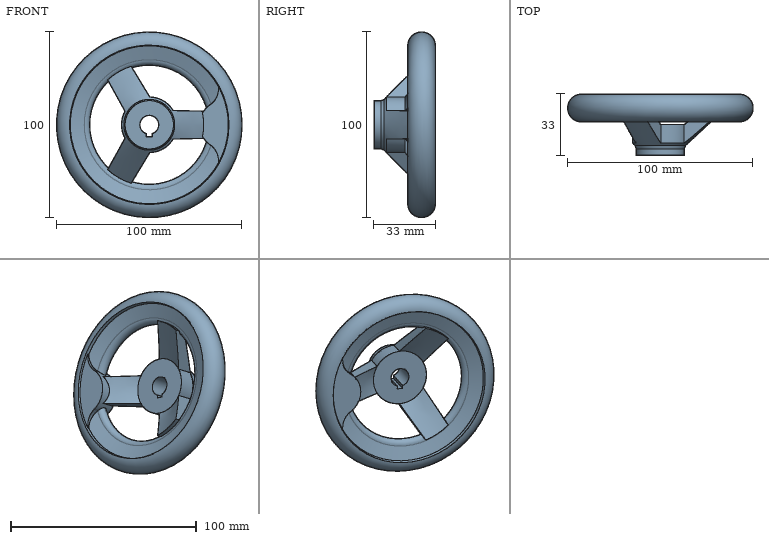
import cadquery as cq
import math


rim_radius = 50.0
rim_width = 15.0
tube_radius = rim_width / 2
tube_circle_radius = rim_radius - tube_radius
lip_radius = 42.9
lip_depth = 1.9
dish_outer_radius = tube_circle_radius
dish_inner_radius = 35.0
dish_inner_depth = 4.4
rim_opening_radius = 32.0

hub_radius = 15.0
hub_back = -1.3
collar_radius = 13.0
collar_back = -14.4
hub_front = -18.0
bore_radius = 5.0
keyway_width = 3.0
keyway_reach = 6.4

shoulder_radius = 13.7
shoulder_front = -12.6
cone_slope = 0.93
back_cone_slope = 0.78

spoke_count = 3
spoke_width_at_axis = 16.0
spoke_width_at_rim = 14.6
spoke_end_radius = 33.5

boss_center_x = 40.0
boss_radius = 13.0
boss_front = 1.9
boss_back = 14.0
blend_radius = 10.0
blend_center_x = 27.2
blend_center_z = math.sqrt((boss_radius + blend_radius) ** 2 - (boss_center_x - blend_center_x) ** 2)


def front_cone_depth(radius):
    """Y of the cone along the front of the spokes."""
    return shoulder_front + cone_slope * (radius - shoulder_radius)


def back_cone_depth(radius):
    """Y of the shallower cone along the back of the spokes."""
    return hub_back + back_cone_slope * (radius - hub_radius)


def revolve_about_axis(profile):
    return profile.revolve(360, (0, 0, 0), (0, 1, 0))


def plate_sketch(front):
    """Workplane facing forward; extrude by a negative length to go back into the wheel."""
    return cq.Workplane("XZ", origin=(0, front, 0))


def make_rim():
    profile = (
        cq.Workplane("XY")
        .moveTo(lip_radius, 0)
        .threePointArc((rim_radius, tube_radius), (lip_radius, rim_width))
        .lineTo(dish_outer_radius, rim_width - lip_depth)
        .lineTo(dish_inner_radius, rim_width - dish_inner_depth)
        .threePointArc((rim_opening_radius, rim_width / 2), (dish_inner_radius, dish_inner_depth))
        .lineTo(dish_outer_radius, lip_depth)
        .close()
    )
    return revolve_about_axis(profile)


def make_hub_and_spokes():
    """Revolved cone and hub, trimmed outside the hub to tapered straight bars."""
    body = revolve_about_axis(
        cq.Workplane("XY")
        .moveTo(0, hub_back)
        .lineTo(hub_radius, hub_back)
        .lineTo(spoke_end_radius, back_cone_depth(spoke_end_radius))
        .lineTo(spoke_end_radius, front_cone_depth(spoke_end_radius))
        .lineTo(shoulder_radius, shoulder_front)
        .lineTo(collar_radius, collar_back)
        .lineTo(collar_radius, hub_front)
        .lineTo(0, hub_front)
        .close()
    )
    depth = rim_width - hub_front
    bar = (
        plate_sketch(hub_front)
        .polyline([
            (0, -spoke_width_at_axis / 2),
            (spoke_end_radius, -spoke_width_at_rim / 2),
            (spoke_end_radius, spoke_width_at_rim / 2),
            (0, spoke_width_at_axis / 2),
        ])
        .close()
        .extrude(-depth)
    )
    outline = plate_sketch(hub_front).circle(hub_radius).extrude(-depth)
    for index in range(spoke_count):
        angle = index * 360 / spoke_count
        outline = outline.union(bar.rotate((0, 0, 0), (0, 1, 0), angle))
    return body.intersect(outline)


def make_handle_boss():
    """Flat pad with a round end whose sides sweep outward to the rim."""
    thickness = boss_back - boss_front
    blend_end_x = blend_center_x + blend_radius
    round_end = plate_sketch(boss_front).center(boss_center_x, 0).circle(boss_radius).extrude(-thickness)
    flare = (
        plate_sketch(boss_front)
        .polyline([
            (boss_center_x, 0),
            (blend_center_x, blend_center_z),
            (blend_end_x, blend_center_z),
            (blend_end_x, rim_radius),
            (rim_radius, rim_radius),
            (rim_radius, -rim_radius),
            (blend_end_x, -rim_radius),
            (blend_end_x, -blend_center_z),
            (blend_center_x, -blend_center_z),
        ])
        .close()
        .extrude(-thickness)
    )
    blends = (
        plate_sketch(boss_front)
        .pushPoints([(blend_center_x, blend_center_z), (blend_center_x, -blend_center_z)])
        .circle(blend_radius)
        .extrude(-thickness)
    )
    inside_rim = plate_sketch(boss_front).circle(tube_circle_radius).extrude(-thickness)
    return flare.cut(blends).union(round_end).intersect(inside_rim)


def make_keyed_bore():
    length = hub_back - hub_front
    bore = plate_sketch(hub_front).circle(bore_radius).extrude(-length)
    keyway = (
        plate_sketch(hub_front)
        .center(0, -keyway_reach / 2)
        .rect(keyway_width, keyway_reach)
        .extrude(-length)
    )
    return bore.union(keyway)


wheel = make_rim().union(make_hub_and_spokes()).union(make_handle_boss())
result = wheel.cut(make_keyed_bore())